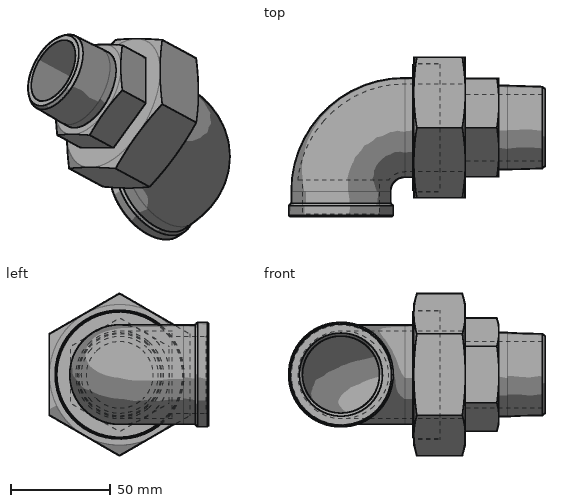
import cadquery as cq
import math

pipe_radius = 25.1
bend_radius = 32.1
cavity_radius = 22.1

inlet_face = -45.0
collar_radius = 26.4
collar_width = 7.0
collar_front_chamfer = 0.9
collar_back_chamfer = collar_radius - pipe_radius
inlet_bore_radius = 19.4
inlet_bore_end = -26.4
inlet_chamfer = 1.5

nut_start = 36.7
nut_end = 62.6
nut_flats = 70.9
nut_bore_radius = 32.5

hex_chamfer_angle = 15.0

shoulder_start = 36.2
shoulder_radius = 32.1
shoulder_chamfer = 0.5

tail_hex_end = 79.6
tail_hex_flats = 49.5
tail_end = 103.0
neck_radius = 21.2
taper_start = 83.9
taper_slope = 1 / 32
tip_chamfer_length = 1.7
tip_radius = 19.4
tail_bore_radius = 16.8


def rod_x(start, end, radius):
    """Round bar along X."""
    return cq.Workplane("YZ", origin=(start, 0, 0)).circle(radius).extrude(end - start)


def rod_y(start, end, radius):
    """Round bar along Y."""
    return cq.Workplane("XZ", origin=(0, start, 0)).circle(radius).extrude(start - end)


def quarter_bend(radius):
    """Round bar turning from the Y axis to the X axis."""
    return (
        cq.Workplane("XZ", origin=(0, -bend_radius, 0))
        .circle(radius)
        .revolve(90, (bend_radius, 0, 0), (bend_radius, -1, 0))
    )


def turned_x(profile):
    """Solid of revolution about X from (x, radius) points."""
    return cq.Workplane("XY").polyline(profile).close().revolve(360, (0, 0, 0), (1, 0, 0))


def hexagon_x(start, end, flats, chamfer_start, chamfer_end):
    """Hexagon along X with corners at top and bottom, its chosen ends coned off at the corners."""
    corner_radius = flats / 2 / math.cos(math.radians(30))
    cone_length = (corner_radius - flats / 2) * math.tan(math.radians(hex_chamfer_angle))
    prism = (
        cq.Workplane("YZ", origin=(start, 0, 0))
        .polygon(6, 2 * corner_radius)
        .extrude(end - start)
        .rotate((0, 0, 0), (1, 0, 0), 90)
    )
    start_radius = flats / 2 if chamfer_start else corner_radius
    end_radius = flats / 2 if chamfer_end else corner_radius
    envelope = turned_x([
        (start, 0),
        (start, start_radius),
        (start + cone_length, corner_radius),
        (end - cone_length, corner_radius),
        (end, end_radius),
        (end, 0),
    ])
    return prism.intersect(envelope)


def elbow():
    collar = (
        rod_y(inlet_face, inlet_face + collar_width, collar_radius)
        .faces("<Y").chamfer(collar_front_chamfer)
        .faces(">Y").chamfer(collar_back_chamfer)
    )
    inlet_leg = rod_y(inlet_face + collar_width / 2, -bend_radius, pipe_radius)
    outlet_leg = rod_x(bend_radius, nut_end, pipe_radius)
    shoulder = rod_x(shoulder_start, nut_end, shoulder_radius).faces("<X").chamfer(shoulder_chamfer)
    return quarter_bend(pipe_radius).union(inlet_leg).union(collar).union(outlet_leg).union(shoulder)


def union_nut():
    """Nut with a clearance bore that leaves a thin gap around the elbow shoulder."""
    nut = hexagon_x(nut_start, nut_end, nut_flats, True, True)
    gap_end = (nut_start + nut_end) / 2
    return nut.cut(rod_x(nut_start, gap_end, nut_bore_radius))


def tailpiece():
    tail_hex = hexagon_x(nut_end, tail_hex_end, tail_hex_flats, False, True)
    tip_start = tail_end - tip_chamfer_length
    taper_end_radius = neck_radius - (tip_start - taper_start) * taper_slope
    male_end = turned_x([
        (nut_end, 0),
        (nut_end, neck_radius),
        (taper_start, neck_radius),
        (tip_start, taper_end_radius),
        (tail_end, tip_radius),
        (tail_end, 0),
    ])
    return tail_hex.union(male_end)


def passage():
    """Flow passage: tapped inlet, wider bend behind it, and the bore through the tailpiece."""
    inlet = rod_y(inlet_face, inlet_bore_end, inlet_bore_radius)
    countersink = cq.Workplane("XY").add(
        cq.Solid.makeCone(
            inlet_bore_radius + inlet_chamfer, inlet_bore_radius, inlet_chamfer,
            cq.Vector(0, inlet_face, 0), cq.Vector(0, 1, 0),
        )
    )
    inlet_wall = rod_y(inlet_face, inlet_bore_end, collar_radius)
    bend = quarter_bend(cavity_radius).cut(inlet_wall)
    outlet = rod_x(bend_radius, nut_end, cavity_radius)
    tail = rod_x(nut_end, tail_end, tail_bore_radius)
    return inlet.union(countersink).union(bend).union(outlet).union(tail)


result = elbow().union(union_nut()).union(tailpiece()).cut(passage())